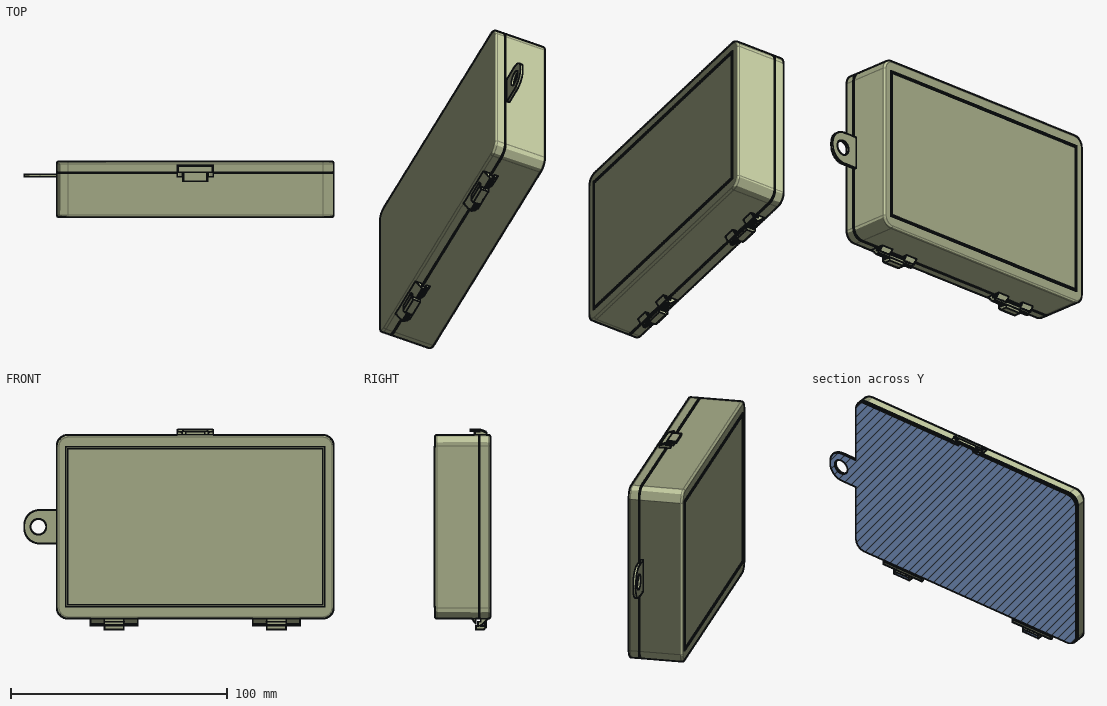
import cadquery as cq


LENGTH = 143.0
TAB_REACH = 15.0
CASE_X = LENGTH - TAB_REACH
CASE_Z = 85.0
TOTAL_DEPTH = 25.9
TOTAL_Z = 92.5
LID_DEPTH = 5.0
RIM_HEIGHT = 0.1
BASE_DEPTH = TOTAL_DEPTH - LID_DEPTH - RIM_HEIGHT
CORNER_R = 5.1
EDGE_R = 1.0
FINGER_DROP = 5.0
TOP = CASE_Z / 2
BOTTOM = -CASE_Z / 2
EMBED = 0.7

SEAM_GAP = 0.5
SEAM_INSET = 0.5

RIM_X = 119.5
RIM_Z = 73.8
RIM_WIDTH = 0.9

TAB_Z = 15.6
TAB_THICK = 1.3
TAB_Y = -0.9
TAB_R = 7.2
TAB_HOLE_INSET = 6.6
TAB_HOLE_D = 7.2

LATCH_X = 16.7
LATCH_Y = 3.1
LATCH_HEIGHT = TOTAL_Z - CASE_Z - FINGER_DROP
LATCH_BACK_HEIGHT = 1.5
LATCH_EDGE = 0.5
TONGUE_X = 11.5
TONGUE_REACH = 4.3
TONGUE_THICK = 0.9
TONGUE_EDGE = 0.5
LEG_X = 2.5
LEG_REACH = 2.0
LEG_HEIGHT = 1.5
LEG_EDGE_R = 1.1
CATCH_X = 8.6
CATCH_REACH = 2.6
CATCH_HEIGHT = 1.3

HINGE_OFFSET = 37.5
HINGE_XS = (-HINGE_OFFSET, HINGE_OFFSET)
HINGE_X = 22.0
FINGER_X = 9.0
KNUCKLE_DROP = 3.3
KNUCKLE_ROOT_Y = 3.9
KNUCKLE_BACK_Y = 0.5
KNUCKLE_FRONT_Y = -0.9
KNUCKLE_BEVEL = 0.5
KNUCKLE_STEP = 1.3
FINGER_BACK_Y = 3.0
FINGER_FRONT_Y = -1.7
FINGER_ARM = 0.9
FINGER_BEVEL = 1.1
RIB_BACK_Y = -1.7
RIB_FRONT_Y = -3.6
RIB_DROP = 2.3
RIB_TIP = 0.1


def slab(x_size, z_size, y_back, depth):
    """Box centred in X and Z that runs from y_back toward -Y."""
    return cq.Workplane("XY").box(x_size, depth, z_size).translate((0, y_back - depth / 2, 0))


def yz_prism(points, width, x_center):
    """Prism with a (y, z) outline, centred on x_center along X."""
    return (
        cq.Workplane("YZ", origin=(x_center - width / 2, 0, 0))
        .polyline(points)
        .close()
        .extrude(width)
    )


def case_shell(y_back, depth, rounded_face):
    """Block with round corners whose outer face has a rounded edge."""
    block = slab(CASE_X, CASE_Z, y_back, depth).edges("|Y").fillet(CORNER_R)
    return block.faces(rounded_face).edges().fillet(EDGE_R)


def seam_lip():
    """Inset layer on the base that leaves the shadow groove below the lid."""
    lip = slab(CASE_X - 2 * SEAM_INSET, CASE_Z - 2 * SEAM_INSET, 0, SEAM_GAP)
    return lip.edges("|Y").fillet(CORNER_R - SEAM_INSET)


def foot_rim():
    """Low rectangular frame on the outer face of the base."""
    outer = slab(RIM_X, RIM_Z, -BASE_DEPTH, RIM_HEIGHT)
    inner = slab(RIM_X - 2 * RIM_WIDTH, RIM_Z - 2 * RIM_WIDTH, -BASE_DEPTH, RIM_HEIGHT)
    return outer.cut(inner)


def hanging_tab():
    """Plate with a hole on the -X side of the base."""
    end_x = -CASE_X / 2 - TAB_REACH
    length = TAB_REACH + EMBED
    plate = slab(length, TAB_Z, TAB_Y, TAB_THICK).translate((end_x + length / 2, 0, 0))
    plate = plate.edges("|Y and <X").fillet(TAB_R)
    hole = (
        cq.Workplane("XZ", origin=(end_x + TAB_HOLE_INSET, TAB_Y, 0))
        .circle(TAB_HOLE_D / 2)
        .extrude(TAB_THICK)
    )
    return plate.cut(hole)


def latch_catch():
    """Block on the base that sits under the latch tongue."""
    points = [
        (-SEAM_GAP, TOP - EMBED),
        (-SEAM_GAP, TOP + CATCH_HEIGHT),
        (-CATCH_REACH, TOP + CATCH_HEIGHT),
        (-CATCH_REACH, TOP - EMBED),
    ]
    return yz_prism(points, CATCH_X, 0)


def latch_wedge():
    """Sloped root of the latch on top of the lid."""
    points = [
        (0, TOP - EMBED),
        (0, TOP + LATCH_HEIGHT),
        (LATCH_Y, TOP + LATCH_BACK_HEIGHT),
        (LATCH_Y, TOP - EMBED),
    ]
    wedge = yz_prism(points, LATCH_X, 0)
    slope = wedge.faces("not (|X or |Y or |Z)")
    return slope.edges("not <Y").chamfer(LATCH_EDGE)


def latch_tongue():
    """Thin plate that reaches from the wedge over the base."""
    underside = TOP + LATCH_HEIGHT - TONGUE_THICK
    points = [
        (EMBED, underside),
        (EMBED, underside + TONGUE_THICK / 2),
        (0, TOP + LATCH_HEIGHT),
        (-TONGUE_REACH, TOP + LATCH_HEIGHT),
        (-TONGUE_REACH, underside),
    ]
    tongue = yz_prism(points, TONGUE_X, 0)
    return tongue.faces(">Z").edges("|Y").chamfer(TONGUE_EDGE)


def latch_leg(side):
    """Low foot beside the tongue, rounded toward the middle."""
    points = [
        (EMBED, TOP - EMBED),
        (EMBED, TOP + LEG_HEIGHT),
        (-LEG_REACH, TOP + LEG_HEIGHT),
        (-LEG_REACH, TOP),
        (0, TOP),
        (0, TOP - EMBED),
    ]
    leg = yz_prism(points, LEG_X, side * (LATCH_X - LEG_X) / 2)
    inner_edge = "<X" if side > 0 else ">X"
    return leg.faces(">Z").edges(inner_edge).fillet(LEG_EDGE_R)


def hinge_knuckle(x_center):
    """Sloped bar on the lid that crosses the seam below the case."""
    points = [
        (KNUCKLE_ROOT_Y, BOTTOM + EMBED),
        (KNUCKLE_ROOT_Y, BOTTOM),
        (KNUCKLE_BACK_Y, BOTTOM - KNUCKLE_DROP),
        (KNUCKLE_FRONT_Y + KNUCKLE_BEVEL, BOTTOM - KNUCKLE_DROP),
        (KNUCKLE_FRONT_Y, BOTTOM - KNUCKLE_DROP + KNUCKLE_BEVEL),
        (KNUCKLE_FRONT_Y, BOTTOM - KNUCKLE_STEP),
        (KNUCKLE_BACK_Y, BOTTOM - KNUCKLE_STEP),
        (KNUCKLE_BACK_Y, BOTTOM + EMBED),
    ]
    return yz_prism(points, HINGE_X, x_center)


def hinge_finger(x_center):
    """Hook at the middle of a knuckle."""
    inner_y = FINGER_BACK_Y - FINGER_ARM
    points = [
        (inner_y, BOTTOM),
        (FINGER_BACK_Y, BOTTOM),
        (FINGER_BACK_Y, BOTTOM - FINGER_DROP + FINGER_BEVEL),
        (FINGER_BACK_Y - FINGER_BEVEL, BOTTOM - FINGER_DROP),
        (FINGER_FRONT_Y, BOTTOM - FINGER_DROP),
        (FINGER_FRONT_Y, BOTTOM - KNUCKLE_DROP),
        (inner_y, BOTTOM - KNUCKLE_DROP),
    ]
    return yz_prism(points, FINGER_X, x_center)


def hinge_ribs(x_center):
    """Two triangular ribs on the base, one on each side of the finger."""
    points = [
        (RIB_BACK_Y, BOTTOM + EMBED),
        (RIB_BACK_Y, BOTTOM - RIB_DROP),
        (RIB_BACK_Y - RIB_TIP, BOTTOM - RIB_DROP),
        (RIB_FRONT_Y, BOTTOM),
        (RIB_FRONT_Y, BOTTOM + EMBED),
    ]
    gap_points = [
        (0, BOTTOM),
        (0, BOTTOM - RIB_DROP),
        (RIB_FRONT_Y, BOTTOM - RIB_DROP),
        (RIB_FRONT_Y, BOTTOM),
    ]
    gap = yz_prism(gap_points, FINGER_X, x_center)
    return yz_prism(points, HINGE_X, x_center).cut(gap)


def make_base():
    base = case_shell(-SEAM_GAP, BASE_DEPTH - SEAM_GAP, "<Y")
    base = base.union(seam_lip()).union(foot_rim()).union(hanging_tab()).union(latch_catch())
    for x_center in HINGE_XS:
        base = base.union(hinge_ribs(x_center))
    return base


def make_lid():
    lid = case_shell(LID_DEPTH, LID_DEPTH, ">Y")
    lid = lid.union(latch_wedge()).union(latch_tongue())
    for side in (-1, 1):
        lid = lid.union(latch_leg(side))
    for x_center in HINGE_XS:
        lid = lid.union(hinge_knuckle(x_center)).union(hinge_finger(x_center))
    return lid


base = make_base()
lid = make_lid()
result = cq.Compound.makeCompound([base.val(), lid.val()])